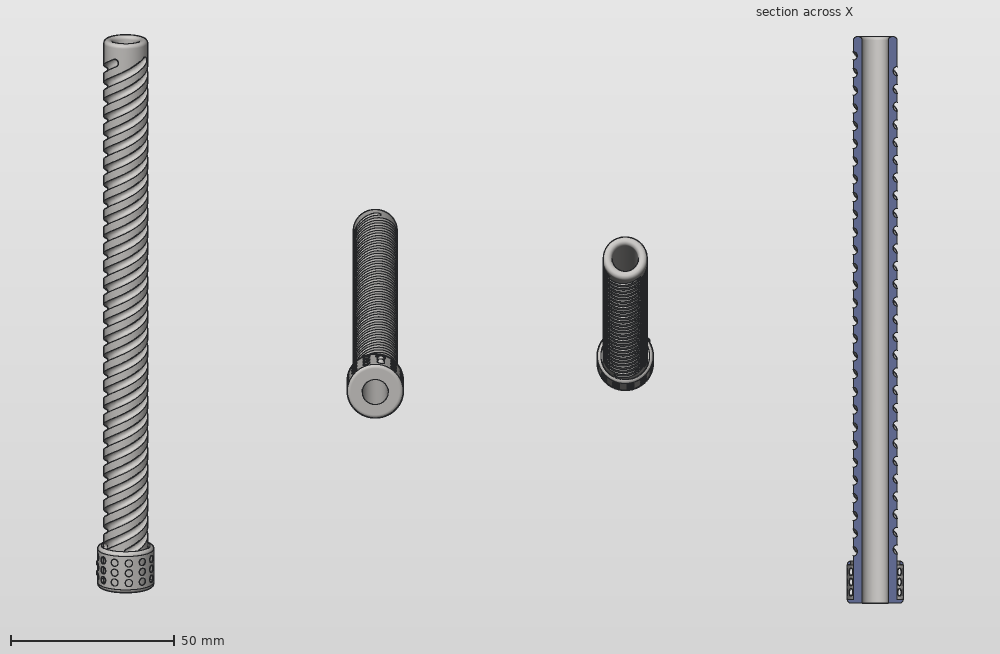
import cadquery as cq
import math

length = 173.7
shaft_radius = 6.8
bore_radius = 4.0
shaft_fillet = 1.2

groove_count = 4
groove_lead = 21.7
groove_radius = 1.2
groove_top_height = 167.8
groove_top_angle = -96.5
groove_turns = 7.15
groove_clearance = 0.3

cage_radius = 8.7
cage_height = 13.0
cage_fillet = 1.2
cage_mouth_radius = cage_radius - cage_fillet
cage_wall = 0.2
cavity_radius = cage_radius - cage_wall
cage_floor = cage_fillet
floor_bore_radius = (bore_radius + shaft_radius) / 2

window_radius = 1.13
window_columns = 12
column_angle = 360 / window_columns
row_pitch = 3.1
middle_row_height = cage_height / 2
row_heights = [middle_row_height + row_pitch * step for step in (-1, 0, 1)]

mark_column = 6
mark_radius = 1.2
mark_centre_radius = cavity_radius
dimple_wall = 0.3


def turn(body, angle):
    return body.rotate((0, 0, 0), (0, 0, 1), angle)


def cylinder(radius, bottom, top):
    return cq.Workplane("XY").workplane(offset=bottom).circle(radius).extrude(top - bottom)


def ball(radius, distance, angle, height):
    return turn(cq.Workplane("XY").sphere(radius).translate((distance, 0, height)), angle)


def shaft():
    tube = cylinder(shaft_radius, 0, length).cut(cylinder(bore_radius, 0, length))
    return tube.faces(">Z").edges().fillet(shaft_fillet)


def groove_cutters(top_angle):
    drop = groove_lead * groove_turns
    bottom_height = groove_top_height - drop
    bottom_angle = top_angle - 360 * groove_turns
    path = cq.Workplane(obj=cq.Wire.makeHelix(groove_lead, drop, shaft_radius))
    path_direction = (0, 2 * math.pi * shaft_radius, groove_lead)
    section = cq.Plane((shaft_radius, 0, 0), (1, 0, 0), path_direction)
    outline = (
        cq.Workplane(section)
        .moveTo(groove_clearance, -groove_radius)
        .lineTo(0, -groove_radius)
        .threePointArc((-groove_radius, 0), (0, groove_radius))
        .lineTo(groove_clearance, groove_radius)
        .close()
    )
    channel = outline.sweep(path, isFrenet=True)
    cutters = [turn(channel, bottom_angle).translate((0, 0, bottom_height))]
    for angle, height in ((top_angle, groove_top_height), (bottom_angle, bottom_height)):
        reach = cylinder(shaft_radius + groove_clearance, height - groove_radius, height + groove_radius)
        cutters.append(ball(groove_radius, shaft_radius, angle, height).intersect(reach))
    return cutters


def cage():
    body = cylinder(cage_radius, 0, cage_height)
    body = body.faces("<Z or >Z").edges().fillet(cage_fillet)
    body = body.cut(cylinder(floor_bore_radius, 0, cage_height))
    body = body.cut(cylinder(cage_mouth_radius, cage_floor, cage_height))
    return body.cut(cylinder(cavity_radius, cage_floor, cage_height - cage_fillet))


def cut_windows(body):
    wall = cage_radius - cage_mouth_radius
    for height in row_heights:
        for column in range(window_columns):
            if column == mark_column:
                continue
            outline = cq.Workplane("YZ").workplane(offset=cage_mouth_radius).center(0, height)
            window = outline.circle(window_radius).extrude(wall)
            body = body.cut(turn(window, column * column_angle))
    return body


def add_marks(body):
    angle = mark_column * column_angle
    *bump_heights, dimple_height = row_heights
    for height in bump_heights:
        bump = ball(mark_radius, mark_centre_radius, angle, height)
        body = body.union(bump.cut(cylinder(cavity_radius, 0, cage_height)))
    cup = ball(mark_radius + dimple_wall, mark_centre_radius, angle, dimple_height)
    body = body.union(cup.intersect(cylinder(cage_radius, 0, cage_height)))
    return body.cut(ball(mark_radius, mark_centre_radius, angle, dimple_height))


def cut_grooves(body):
    cutters = []
    for start in range(groove_count):
        cutters += groove_cutters(groove_top_angle + 360 * start / groove_count)
    return body.newObject([body.val().cut(*[cutter.val() for cutter in cutters])])


result = cut_grooves(shaft()).union(add_marks(cut_windows(cage())))